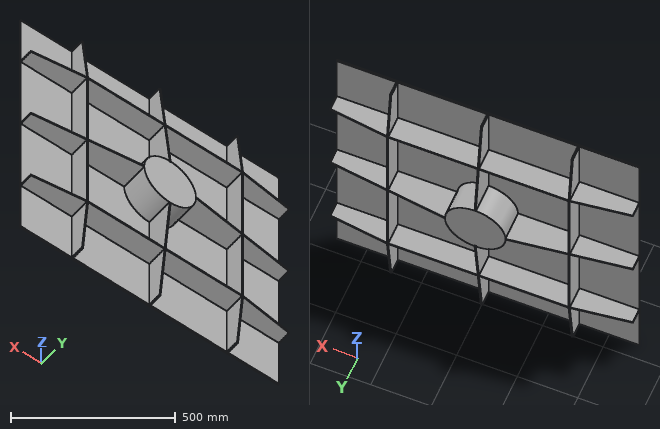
import cadquery as cq

plate_side = 1000.0
plate_thickness = 5.0
half_side = plate_side / 2

rib_thickness = 5.0
rib_spacing = 300.0
edge_depth = 55.0

boss_radius = 100.0
total_depth = 105.0

taper_slope = (total_depth - edge_depth) / (half_side - boss_radius)
outer_rib_depth = edge_depth + taper_slope * (half_side - rib_spacing)


def make_rib(offset, flat_half_length, depth):
    """Rib along Z at X = offset: flat in the middle, tapering to both plate edges."""
    outline = [
        (0, -half_side),
        (edge_depth, -half_side),
        (depth, -flat_half_length),
        (depth, flat_half_length),
        (edge_depth, half_side),
        (0, half_side),
    ]
    rib = cq.Workplane("YZ").polyline(outline).close().extrude(rib_thickness / 2, both=True)
    return rib.translate((offset, 0, 0))


plate = cq.Workplane("XY").box(
    plate_side, plate_thickness, plate_side, centered=(True, False, True)
)
boss = cq.Workplane("XZ").circle(boss_radius).extrude(-total_depth)
result = plate.union(boss)

ribs = [
    make_rib(-rib_spacing, rib_spacing, outer_rib_depth),
    make_rib(0, boss_radius, total_depth),
    make_rib(rib_spacing, rib_spacing, outer_rib_depth),
]
for rib in ribs:
    crossing_rib = rib.rotate((0, 0, 0), (0, 1, 0), 90)
    result = result.union(rib).union(crossing_rib)